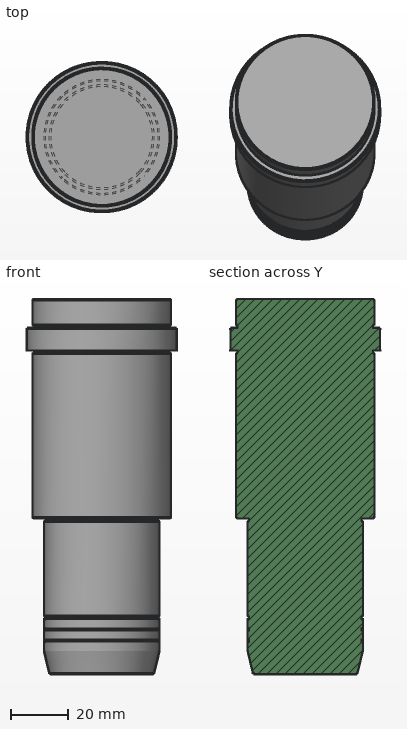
import cadquery as cq

height = 130.0
collar_radius = 26.0
body_radius = 24.0
shank_radius = 20.0
tip_radius = 18.1

collar_top = 120.0
collar_bottom = 112.0
body_top = 111.4
body_bottom = 54.0
taper_height = 8.0

edge_chamfer = 0.5
relief_width = 0.6
relief_depth = 0.5
groove_width = 0.6
groove_depth = 0.5
groove_pitch = 3.9
groove_count = 3
lowest_groove_z = 11.7
shank_top_chamfer = 0.5


def cylinder(radius, bottom, top):
    """Cylinder on the Z axis between two heights."""
    return cq.Workplane("XY").workplane(offset=bottom).circle(radius).extrude(top - bottom)


def make_shank():
    """Narrow lower cylinder with a conical, chamfered tip."""
    tip = (
        cq.Workplane("XY")
        .circle(tip_radius)
        .workplane(offset=taper_height)
        .circle(shank_radius)
        .loft(ruled=True)
        .faces("<Z")
        .chamfer(edge_chamfer)
    )
    shank_top = body_bottom - relief_width
    shank = cylinder(shank_radius, taper_height, shank_top).faces(">Z").chamfer(shank_top_chamfer)
    neck = cylinder(shank_radius - relief_depth, taper_height, body_bottom)
    return tip.union(shank).union(neck)


def cut_grooves(shank):
    """Ring grooves above the tip; the highest has a chamfered upper edge."""
    core_radius = shank_radius - groove_depth
    for index in range(groove_count):
        center_z = lowest_groove_z + index * groove_pitch
        bottom = center_z - groove_width / 2
        top = center_z + groove_width / 2
        ring = cylinder(shank_radius, bottom, top).cut(cylinder(core_radius, bottom, top))
        shank = shank.cut(ring)
    highest_top = lowest_groove_z + (groove_count - 1) * groove_pitch + groove_width / 2
    bevel = (
        cq.Workplane("XZ")
        .moveTo(core_radius, highest_top)
        .lineTo(shank_radius, highest_top)
        .lineTo(shank_radius, highest_top + groove_depth)
        .close()
        .revolve(360, (0, 0, 0), (0, 1, 0))
    )
    return shank.cut(bevel)


def make_upper():
    """Body, collar and head, joined through narrow relief necks."""
    body = cylinder(body_radius, body_bottom, body_top).faces("<Z or >Z").chamfer(edge_chamfer)
    collar = cylinder(collar_radius, collar_bottom, collar_top).faces(">Z").chamfer(edge_chamfer)
    head_bottom = collar_top + relief_width
    head = cylinder(body_radius, head_bottom, height).faces("<Z or >Z").chamfer(edge_chamfer)
    neck = cylinder(body_radius - relief_depth, body_top, head_bottom)
    return body.union(neck).union(collar).union(head)


result = cut_grooves(make_shank()).union(make_upper())